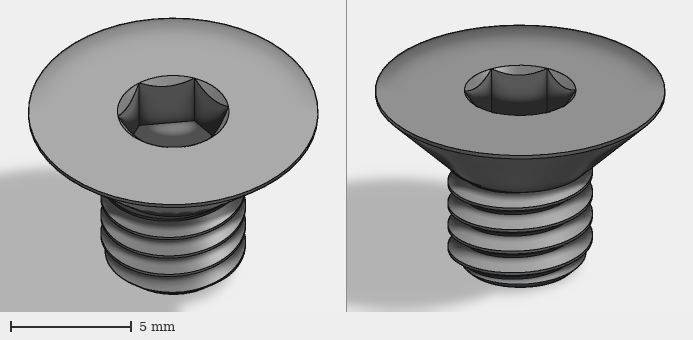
import cadquery as cq
import math

total_length = 8.0

head_diameter = 12.0
head_rim_height = 0.16
head_height = 3.3
head_radius = head_diameter / 2
cone_bottom_radius = head_radius - (head_height - head_rim_height)

socket_across_flats = 4.0
socket_depth = 2.3
socket_corner_radius = socket_across_flats / math.sqrt(3)
lead_in_depth = 1.0

thread_diameter = 6.0
core_diameter = 4.7
pitch = 1.0
root_flat = pitch / 8
flank_angle = math.radians(30)
groove_start_depth = head_height + 0.62
thread_radius = thread_diameter / 2
core_radius = core_diameter / 2

tip_radius = 2.27
shank_top_depth = 2.6
tip_trim_overcut = 0.5
groove_overcut = 0.05
turns_above_start = 2
groove_turns = 8


def make_head():
    """Flat-topped head with a thin cylindrical rim above a 90 degree cone."""
    outline = [
        (0, 0),
        (head_radius, 0),
        (head_radius, -head_rim_height),
        (cone_bottom_radius, -head_height),
        (0, -head_height),
    ]
    return cq.Workplane("XZ").polyline(outline).close().revolve(360, (0, 0), (0, 1))


def make_shank():
    """Plain cylinder at the crest diameter, reaching from inside the head to the tip."""
    length = total_length - shank_top_depth
    return cq.Workplane("XY").workplane(offset=-total_length).circle(thread_radius).extrude(length)


def make_tip_trimmer():
    """Ring that cuts a 45 degree chamfer on the threaded tip."""
    tip_chamfer = thread_radius - tip_radius
    inner_radius = tip_radius - tip_trim_overcut
    outer_radius = thread_radius + tip_trim_overcut
    bottom_z = -total_length - tip_trim_overcut
    top_z = -total_length + tip_chamfer + tip_trim_overcut
    section = [
        (inner_radius, bottom_z),
        (outer_radius, bottom_z),
        (outer_radius, top_z),
    ]
    return cq.Workplane("XZ").polyline(section).close().revolve(360, (0, 0), (0, 1))


def make_thread_groove():
    """Right-handed helical groove with 60 degree flanks and a flat root."""
    outer_radius = thread_radius + groove_overcut
    half_root = root_flat / 2
    half_mouth = half_root + (outer_radius - core_radius) * math.tan(flank_angle)
    section = [
        (core_radius, -half_root),
        (outer_radius, -half_mouth),
        (outer_radius, half_mouth),
        (core_radius, half_root),
    ]
    helix_height = groove_turns * pitch
    helix = cq.Wire.makeHelix(pitch, helix_height, core_radius)
    groove = cq.Workplane("XZ").polyline(section).close().sweep(cq.Workplane(helix), isFrenet=True)
    bottom_z = -groove_start_depth + (turns_above_start - groove_turns) * pitch
    return groove.rotate((0, 0, 0), (0, 0, 1), -90).translate((0, 0, bottom_z))


def make_socket():
    """Hexagon with corners on the Y axis and a 45 degree conical lead-in at the mouth."""
    hexagon = (
        cq.Workplane("XY")
        .polygon(6, 2 * socket_corner_radius)
        .extrude(-socket_depth)
        .rotate((0, 0, 0), (0, 0, 1), 90)
    )
    lead_in_bottom_radius = socket_corner_radius - lead_in_depth
    lead_in = cq.Workplane("XY").add(
        cq.Solid.makeCone(socket_corner_radius, lead_in_bottom_radius, lead_in_depth, dir=cq.Vector(0, 0, -1))
    )
    return hexagon.union(lead_in)


threaded_shank = make_shank().cut(make_thread_groove()).cut(make_tip_trimmer())
result = make_head().union(threaded_shank).cut(make_socket())